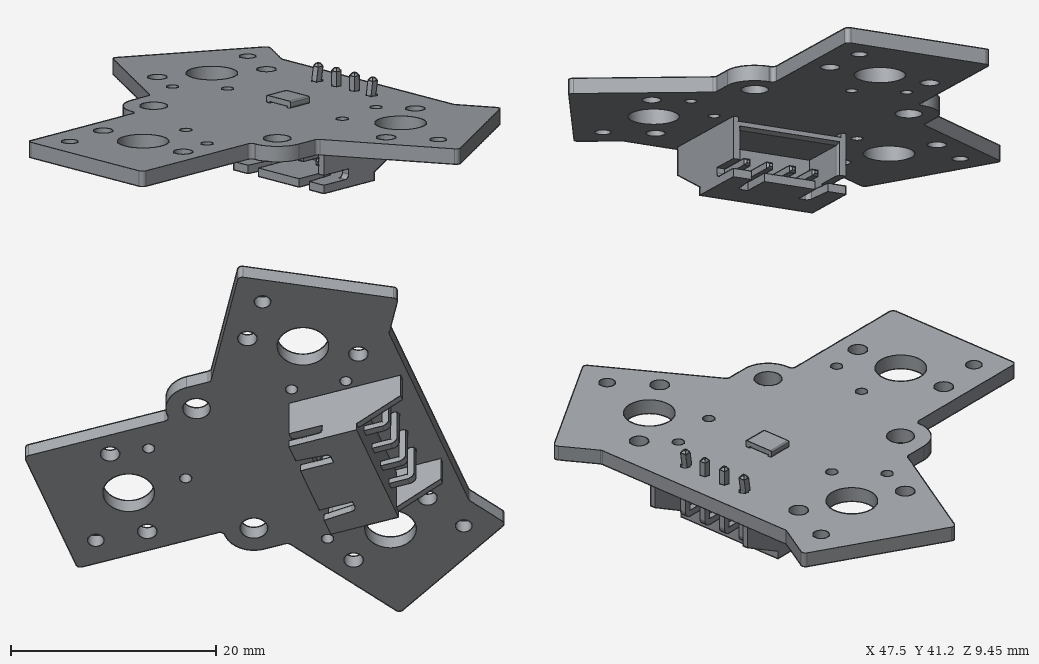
import cadquery as cq
import math


overall_width = 47.45
board_thickness = 1.55
arm_half_width = 7.95
corner_radius = 0.47
top_edge_y = 16.0
ear_half_width = 11.5
ear_radius = 3.0
ear_bottom_y = -8.0
ear_hole_diameter = 2.7

arm_count = 3
switch_distance = 15.0
center_hole_diameter = 5.05
side_hole_offset = 5.5
side_hole_diameter = 1.9
contact_hole_diameter = 1.2
contact_hole_places = [(0, 5.9), (5.0, 3.8)]
post_hole_diameter = 1.6
post_hole_place = (-5.0, -5.15)

housing_half_width = 6.2
housing_front_y = 3.7
housing_rear_y = 10.7
wing_rear_y = 15.25
wing_half_gap = 5.65
wing_rear_z = -2.9
housing_top_z = -0.45
housing_bottom_z = -6.15
rear_wall = 1.0
cavity_half_width = 5.35
cavity_top_z = -1.2
cavity_floor_z = -5.3
mouth_side_flare = 0.15
mouth_top_flare = 0.3
mouth_depth = 0.47
slot_depth = 3.4
slot_height = 1.0
slot_radius = 0.47
notch_inner_x = 2.8
notch_back_x = 3.95
notch_mouth_x = 4.22

pin_count = 4
pin_row_length = 7.5
pin_width = 0.65
pin_tip_width = 0.3
pin_tip_length = 0.3
pin_row_y = 12.9
pin_height_above_board = 1.75
pin_hole_diameter = 0.95
contact_z = -3.85
contact_tip_y = 5.2
kink_offset = 0.25

chip_length = 3.28
chip_width = 2.6
chip_height = 0.7
chip_y = 5.0
chip_end_radius = 0.15
chip_foot_gap = 2.35
chip_standoff = 0.15

arm_step = 360 / arm_count
arm_tilt = math.radians(arm_step - 90)
corner_trim = corner_radius * (math.sqrt(2) * math.cos(math.pi / 4 - arm_tilt) - 1)
arm_length = (overall_width / 2 + corner_trim - arm_half_width * math.sin(arm_tilt)) / math.cos(arm_tilt)
ear_hole_x = ear_half_width - ear_radius
ear_hole_y = ear_bottom_y + ear_radius
slot_end_y = housing_front_y + slot_depth
pin_top_z = board_thickness + pin_height_above_board
pin_pitch = pin_row_length / (pin_count - 1)
pin_xs = [i * pin_pitch - pin_row_length / 2 for i in range(pin_count)]


def box(x_range, y_range, z_range):
    """Axis-aligned box given by its limits on each axis."""
    (x0, x1), (y0, y1), (z0, z1) = x_range, y_range, z_range
    return cq.Workplane("XY").box(x1 - x0, y1 - y0, z1 - z0, centered=False).translate((x0, y0, z0))


def rotate_point(point, degrees):
    """Point turned about the board centre."""
    angle = math.radians(degrees)
    x, y = point
    return (x * math.cos(angle) - y * math.sin(angle), x * math.sin(angle) + y * math.cos(angle))


def mirrored(points):
    """Points followed by their mirror images in X, in reverse order."""
    return points + [(-x, y) for x, y in reversed(points)]


def round_corners(plate, points, radius):
    """Fillet the upright edges of a plate at the given corners."""
    edges = []
    for x, y in points:
        selector = cq.selectors.NearestToPointSelector((x, y, board_thickness / 2))
        edges.append(plate.edges("|Z").edges(selector).val())
    return plate.newObject(edges).fillet(radius)


def make_plate():
    """Three-armed plate with two rounded ears and a straight top edge."""
    foot = (arm_half_width, -arm_length)
    ear_root = (arm_half_width, ear_bottom_y)
    ear_corner = (ear_half_width, ear_bottom_y)
    arm_low = rotate_point((-arm_half_width, -arm_length), arm_step)
    arm_high = rotate_point(foot, arm_step)
    ear_top = (ear_half_width, arm_low[1] - (arm_low[0] - ear_half_width) * math.tan(arm_tilt))
    notch = (arm_high[0] - (arm_high[1] - top_edge_y) / math.tan(arm_tilt), top_edge_y)
    outline = mirrored([foot, ear_root, ear_corner, ear_top, arm_low, arm_high, notch])
    plate = cq.Workplane("XY").polyline(outline).close().extrude(board_thickness)
    plate = round_corners(plate, mirrored([ear_corner]), ear_radius)
    return round_corners(plate, mirrored([foot, ear_root, ear_top, arm_low, arm_high, notch]), corner_radius)


def drill(plate, points, diameter):
    """Drill through holes at the given points."""
    drills = cq.Workplane("XY").pushPoints(points).circle(diameter / 2).extrude(board_thickness)
    return plate.cut(drills)


def make_board(connector):
    """Plate with the switch holes, ear holes and pin holes."""
    board = make_plate()
    switch_holes = [
        ([(0, 0)], center_hole_diameter),
        ([(-side_hole_offset, 0), (side_hole_offset, 0)], side_hole_diameter),
        (contact_hole_places, contact_hole_diameter),
        ([post_hole_place], post_hole_diameter),
    ]
    for offsets, diameter in switch_holes:
        on_arm = [(x, y - switch_distance) for x, y in offsets]
        for arm in range(arm_count):
            board = drill(board, [rotate_point(point, arm * arm_step) for point in on_arm], diameter)
    board = drill(board, mirrored([(ear_hole_x, ear_hole_y)]), ear_hole_diameter)
    board = drill(board, [(x, pin_row_y) for x in pin_xs], pin_hole_diameter)
    return board.cut(connector)


def make_shell():
    """Housing block between two side wings that reach up to the board."""
    profile = [
        (housing_front_y, 0),
        (wing_rear_y, 0),
        (wing_rear_y, wing_rear_z),
        (housing_rear_y, cavity_floor_z),
        (housing_rear_y, housing_bottom_z),
        (housing_front_y, housing_bottom_z),
    ]
    shell = cq.Workplane("YZ").polyline(profile).close().extrude(housing_half_width, both=True)
    gap = (-wing_half_gap, wing_half_gap)
    shell = shell.cut(box(gap, (housing_front_y, wing_rear_y), (housing_top_z, 0)))
    return shell.cut(box(gap, (housing_rear_y, wing_rear_y), (housing_bottom_z, 0)))


def make_cavity():
    """Plug cavity, flared at the mouth on the top and the sides."""
    half, flared_half = cavity_half_width, cavity_half_width + mouth_side_flare
    flared_top_z = cavity_top_z + mouth_top_flare
    main = box((-half, half), (housing_front_y, housing_rear_y - rear_wall), (cavity_floor_z, cavity_top_z))
    mouth = (
        cq.Workplane("XZ", origin=(0, housing_front_y, 0))
        .polyline(mirrored([(flared_half, cavity_floor_z), (flared_half, flared_top_z)])).close()
        .workplane(offset=-mouth_depth)
        .polyline(mirrored([(half, cavity_floor_z), (half, cavity_top_z)])).close()
        .loft(ruled=True)
    )
    return main.union(mouth)


def make_side_slots():
    """Slots through both side walls, open at the mating face, rounded at the inner lower corner."""
    slots = box(
        (-housing_half_width, housing_half_width),
        (housing_front_y, slot_end_y),
        (cavity_floor_z, cavity_floor_z + slot_height),
    )
    return slots.edges(">Y and <Z").fillet(slot_radius)


def make_floor_notch():
    """Notch in the cavity floor with a slanted outer wall and a rounded outer back corner."""
    outline = [
        (notch_inner_x, housing_front_y),
        (notch_mouth_x, housing_front_y),
        (notch_back_x, slot_end_y),
        (notch_inner_x, slot_end_y),
    ]
    floor_thickness = cavity_floor_z - housing_bottom_z
    floor_plane = cq.Workplane("XY", origin=(0, 0, housing_bottom_z))
    notch = floor_plane.polyline(outline).close().extrude(floor_thickness)
    back_corner = cq.selectors.NearestToPointSelector((notch_back_x, slot_end_y, cavity_floor_z))
    return notch.edges("|Z").edges(back_corner).fillet(slot_radius)


def make_pin_tip():
    """Tapered pin end standing on Z = 0."""
    return (
        cq.Workplane("XY").rect(pin_width, pin_width)
        .workplane(offset=pin_tip_length).rect(pin_tip_width, pin_tip_width)
        .loft(ruled=True)
    )


def make_pin(x, kink):
    """Right-angle pin; the leg bows toward -Y by the kink at the top face of the board."""
    half = pin_width / 2
    rear_y, front_y = pin_row_y + half, pin_row_y - half
    shank_top_z = pin_top_z - pin_tip_length
    shank_tip_y = contact_tip_y + pin_tip_length
    profile = [
        (shank_tip_y, contact_z - half),
        (rear_y, contact_z - half),
        (rear_y, 0),
        (rear_y - kink, board_thickness),
        (rear_y, shank_top_z),
        (front_y, shank_top_z),
        (front_y - kink, board_thickness),
        (front_y, 0),
        (front_y, contact_z + half),
        (shank_tip_y, contact_z + half),
    ]
    shank = cq.Workplane("YZ", origin=(-half, 0, 0)).polyline(profile).close().extrude(pin_width)
    elbow = cq.selectors.NearestToPointSelector((0, rear_y, contact_z - half))
    shank = shank.edges("|X").edges(elbow).fillet(pin_width)
    leg_tip = make_pin_tip().translate((0, pin_row_y, shank_top_z))
    contact_tip = make_pin_tip().rotate((0, 0, 0), (1, 0, 0), 90).translate((0, shank_tip_y, contact_z))
    return shank.union(leg_tip).union(contact_tip).translate((x, 0, 0))


def make_connector():
    """Side-entry connector: housing and pins in one piece, the outermost pins kinked."""
    connector = make_shell().cut(make_cavity()).cut(make_side_slots())
    notch = make_floor_notch()
    connector = connector.cut(notch).cut(notch.mirror("YZ"))
    for x in pin_xs:
        kink = kink_offset if x in (pin_xs[0], pin_xs[-1]) else 0
        connector = connector.union(make_pin(x, kink))
    return connector


def make_chip():
    """Chip with rounded ends, standing on two end feet."""
    chip = cq.Workplane("XY").box(chip_length, chip_width, chip_height, centered=(True, True, False))
    chip = chip.edges("|Y").fillet(chip_end_radius)
    relief = cq.Workplane("XY").box(chip_foot_gap, chip_width, chip_standoff, centered=(True, True, False))
    return chip.cut(relief).translate((0, chip_y, board_thickness))


connector = make_connector()
board = make_board(connector)
chip = make_chip()

result = cq.Compound.makeCompound([board.val(), connector.val(), chip.val()])